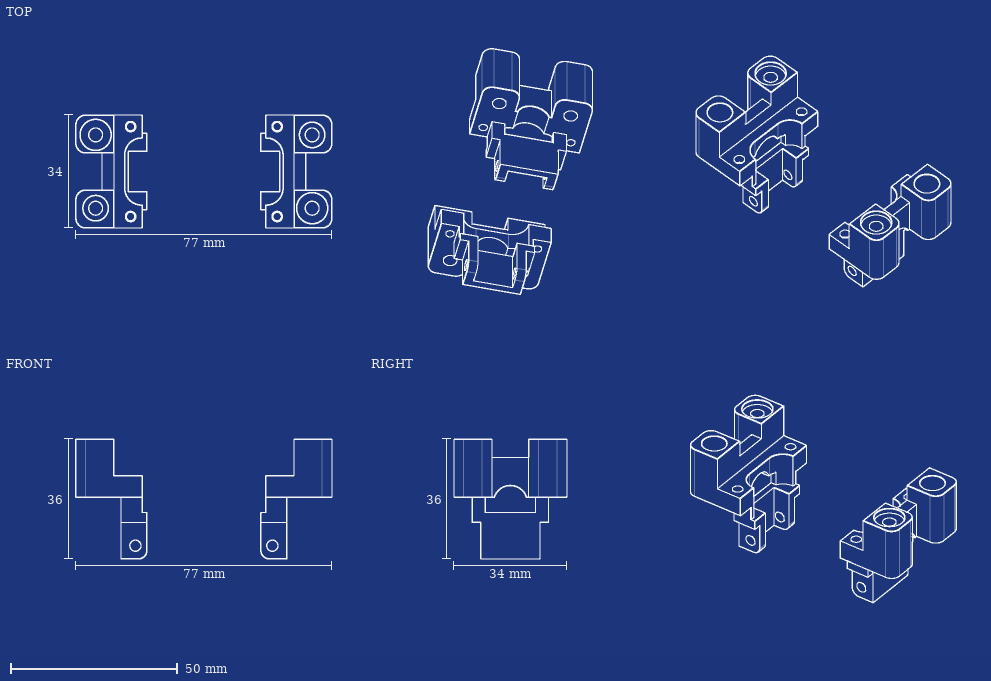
import cadquery as cq
overall_length = 77.0
bracket_width = 34.0
overall_height = 36.0
outer_face = -overall_length / 2
top = overall_height
edge_break = 0.15

tower_side = 11.5
tower_height = 17.5
tower_corner_radius = 3.0
tower_bottom = top - tower_height
tower_inner_face = outer_face + tower_side
screw_hole_x = outer_face + 6.0
screw_hole_y = 11.0
screw_hole_diameter = 4.1
shallow_recess_diameter = 9.2
shallow_recess_depth = 1.7
deep_recess_diameter = 7.5
deep_recess_depth = 11.0

shelf_top = top - 11.0
shelf_inner_face = outer_face + 20.0
wall_outer_face = outer_face + 7.9
wall_top = top - 5.5
wall_width = bracket_width - tower_side
shelf_hole_x = outer_face + 16.5
shelf_hole_y = 13.5
shelf_hole_diameter = 2.5
shelf_hole_mouth_diameter = 3.2
shelf_hole_mouth_depth = 3.0

foot_outer_face = outer_face + 13.6
foot_inner_face = outer_face + 21.45
plate_inner_face = outer_face + 15.8
lug_top = top - 22.0
step_height = top - 25.0
upper_foot_width = 23.0
lower_foot_width = 17.9
lug_gap = 12.0
lug_corner_radius = 2.5
pivot_hole_x = outer_face + 17.95
pivot_hole_height = 4.0
pivot_hole_diameter = 3.3
window_width = 15.0

pocket_face = outer_face + 14.8
pocket_width = 20.0
pocket_corner_radius = 5.0

arch_radius = 5.0
arch_center_height = 17.0


def block(x_from, x_to, width, z_from, z_to, y_center=0):
    """A box between two X and two Z positions, centred on y_center."""
    return (
        cq.Workplane("XY")
        .box(x_to - x_from, width, z_to - z_from, centered=(False, True, False))
        .translate((x_from, y_center, z_from))
    )


def upright_cylinder(x, y, diameter, z_from, z_to):
    return cq.Workplane("XY", origin=(x, y, z_from)).circle(diameter / 2).extrude(z_to - z_from)


def make_tower(side):
    """Tower on the +Y (side = 1) or -Y (side = -1) flank, outer corners rounded."""
    y_center = side * (bracket_width - tower_side) / 2
    tower = block(outer_face, tower_inner_face, tower_side, tower_bottom, top, y_center)
    tower = tower.edges("|Z and <X").fillet(tower_corner_radius)
    return tower.faces(">Z").chamfer(edge_break)


def make_pocket():
    pocket = block(pocket_face, foot_inner_face, pocket_width, lug_top, shelf_top)
    return pocket.edges("|Z and <X").fillet(pocket_corner_radius)


def make_upper_part():
    """Towers, wall and shelf, with the pocket cut and the edges broken."""
    shelf = block(tower_inner_face, shelf_inner_face, bracket_width, tower_bottom, shelf_top)
    wall = block(wall_outer_face, tower_inner_face, wall_width, tower_bottom, wall_top)
    upper = shelf.union(wall).union(make_tower(-1)).union(make_tower(1))
    upper = upper.faces("<Z").edges("not >X").chamfer(edge_break)
    upper = upper.edges("|Z and >X").chamfer(edge_break)
    upper = upper.cut(make_pocket())
    shelf_rim = cq.selectors.BoxSelector(
        (pocket_face - edge_break, -bracket_width, shelf_top - edge_break),
        (foot_inner_face, bracket_width, shelf_top + edge_break),
    )
    return upper.edges(shelf_rim).edges("not |X").chamfer(edge_break)


def make_lugs():
    """Back plate and lugs, from the bottom of the foot up to the top of the lugs."""
    head = block(foot_outer_face, foot_inner_face, upper_foot_width, step_height, lug_top)
    head = head.edges(">X and (|Z or >Z)").chamfer(edge_break)
    lower = block(foot_outer_face, foot_inner_face, lower_foot_width, 0, step_height)
    lower = lower.edges("|Y and >X and <Z").fillet(lug_corner_radius)
    lower = lower.edges("%CIRCLE").chamfer(edge_break)
    gap = block(plate_inner_face, foot_inner_face, lug_gap, 0, lug_top)
    lugs = head.union(lower).cut(gap)
    gap_rim = cq.selectors.BoxSelector(
        (plate_inner_face + edge_break, -lug_gap / 2 - edge_break, lug_top - edge_break),
        (foot_inner_face, lug_gap / 2 + edge_break, lug_top + edge_break),
    )
    return lugs.edges(gap_rim).edges("|X").chamfer(edge_break)


def make_foot():
    legs = block(foot_outer_face, shelf_inner_face, upper_foot_width, lug_top, tower_bottom)
    legs = legs.edges("|Z and >X").chamfer(edge_break)
    window = block(foot_outer_face, shelf_inner_face, window_width, lug_top, tower_bottom)
    pivot_hole = (
        cq.Workplane("XZ", origin=(pivot_hole_x, 0, pivot_hole_height))
        .circle(pivot_hole_diameter / 2)
        .extrude(lower_foot_width, both=True)
    )
    return legs.cut(window).cut(make_pocket()).union(make_lugs()).cut(pivot_hole)


def make_arch():
    """Arched opening, flared by the edge break where it leaves the wall's outer face."""
    arch_plane = cq.Workplane("YZ", origin=(wall_outer_face, 0, arch_center_height))
    bore = arch_plane.circle(arch_radius).extrude(shelf_inner_face - wall_outer_face)
    flare = arch_plane.circle(arch_radius + edge_break).workplane(offset=edge_break)
    flare = flare.circle(arch_radius).loft()
    above_foot = block(wall_outer_face, shelf_inner_face, wall_width, lug_top, wall_top)
    return bore.union(flare).intersect(above_foot)


def make_screw_hole(side, recess_diameter, recess_depth):
    y = side * screw_hole_y
    bore = upright_cylinder(screw_hole_x, y, screw_hole_diameter, tower_bottom, top)
    recess = upright_cylinder(screw_hole_x, y, recess_diameter, top - recess_depth, top)
    rim_plane = cq.Workplane("XY", origin=(screw_hole_x, y, top - edge_break))
    rim = rim_plane.circle(recess_diameter / 2).workplane(offset=edge_break)
    rim = rim.circle(recess_diameter / 2 + edge_break).loft()
    return bore.union(recess).union(rim)


def make_shelf_hole(side):
    y = side * shelf_hole_y
    mouth_bottom = shelf_top - shelf_hole_mouth_depth
    bore = upright_cylinder(shelf_hole_x, y, shelf_hole_diameter, tower_bottom, shelf_top)
    mouth = upright_cylinder(shelf_hole_x, y, shelf_hole_mouth_diameter, mouth_bottom, shelf_top)
    return bore.union(mouth)


def make_bracket():
    bracket = make_upper_part().union(make_foot()).cut(make_arch())
    for side in (-1, 1):
        bracket = bracket.cut(make_shelf_hole(side))
    bracket = bracket.cut(make_screw_hole(1, shallow_recess_diameter, shallow_recess_depth))
    return bracket.cut(make_screw_hole(-1, deep_recess_diameter, deep_recess_depth))


left_bracket = make_bracket()
right_bracket = left_bracket.rotate((0, 0, 0), (0, 0, 1), 180)

result = cq.Compound.makeCompound([left_bracket.val(), right_bracket.val()])